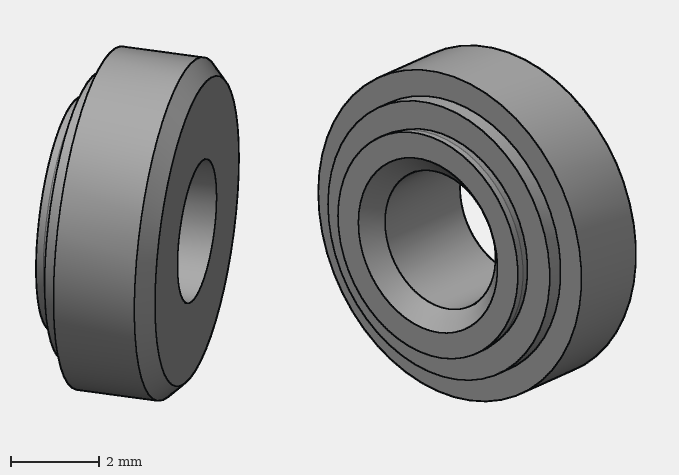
import cadquery as cq

body_diameter = 7.874
total_length = 3.048
step_length = 0.381
middle_diameter = 6.63
nose_diameter = 5.38
nose_rim_length = 0.17
nose_taper_drop = 0.04
rear_chamfer = 0.381
bore_diameter = 3.302
countersink_diameter = 4.16
countersink_depth = (countersink_diameter - bore_diameter) / 2

body_radius = body_diameter / 2
middle_radius = middle_diameter / 2
nose_radius = nose_diameter / 2
nose_root_radius = nose_radius - nose_taper_drop
bore_radius = bore_diameter / 2
countersink_radius = countersink_diameter / 2
middle_face_x = step_length
body_face_x = 2 * step_length


def make_ring():
    """Revolve the half section, with its bore and countersink, about X."""
    half_section = [
        (0, countersink_radius),
        (0, nose_radius),
        (nose_rim_length, nose_radius),
        (middle_face_x, nose_root_radius),
        (middle_face_x, middle_radius),
        (body_face_x, middle_radius),
        (body_face_x, body_radius),
        (total_length - rear_chamfer, body_radius),
        (total_length, body_radius - rear_chamfer),
        (total_length, bore_radius),
        (countersink_depth, bore_radius),
    ]
    profile = cq.Workplane("XY").polyline(half_section).close()
    return profile.revolve(360, (0, 0, 0), (1, 0, 0))


result = make_ring()